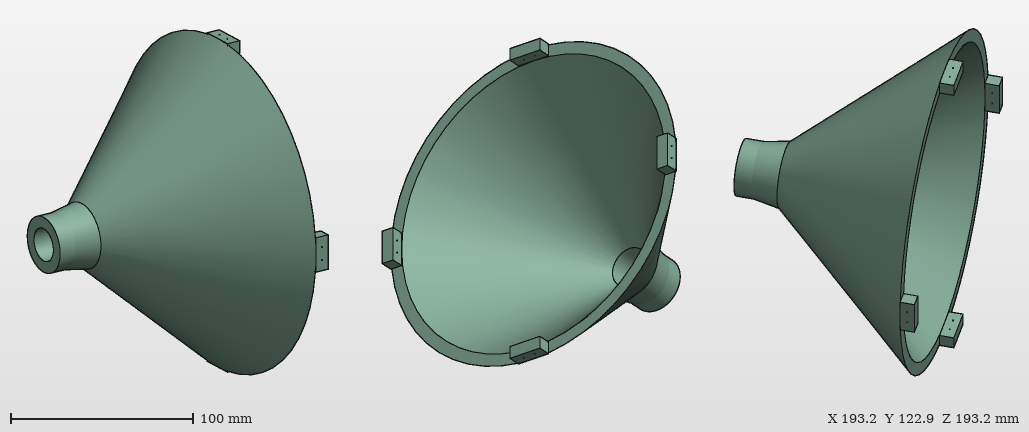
import cadquery as cq

rim_radius = 96.6
throat_radius = 19.0
spout_diameter = 32.3
bore_diameter = 19.0
rim_wall = 7.3

spout_length = 10.0
taper_length = 15.0
cone_length = 89.8

tab_height = 8.1
tab_width = 20.3
tab_count = 4
pinhole_diameter = 0.4
pinhole_spacing = 7.5

taper_start = spout_length
throat_y = taper_start + taper_length
rim_y = throat_y + cone_length


def funnel_body():
    """Revolve the hollow wall: spout, short taper and main cone."""
    spout_radius = spout_diameter / 2
    bore_radius = bore_diameter / 2
    return (
        cq.Workplane("XY")
        .moveTo(bore_radius, 0)
        .lineTo(spout_radius, 0)
        .lineTo(spout_radius, taper_start)
        .lineTo(throat_radius, throat_y)
        .lineTo(rim_radius, rim_y)
        .lineTo(rim_radius - rim_wall, rim_y)
        .lineTo(throat_radius - rim_wall, throat_y)
        .lineTo(bore_radius, taper_start)
        .close()
        .revolve(360, (0, 0, 0), (0, 1, 0))
    )


def rim_tab():
    """Block standing on the +X side of the rim, with its two radial pinholes."""
    tab = cq.Workplane("XY").box(rim_wall, tab_height, tab_width)
    pinholes = (
        cq.Workplane("YZ")
        .rarray(tab_height, pinhole_spacing, 1, 2)
        .circle(pinhole_diameter / 2)
        .extrude(rim_wall, both=True)
    )
    return tab.cut(pinholes).translate((rim_radius - rim_wall / 2, rim_y + tab_height / 2, 0))


result = funnel_body()
for index in range(tab_count):
    angle = index * 360 / tab_count
    result = result.union(rim_tab().rotate((0, 0, 0), (0, 1, 0), angle))

result = result.translate((0, -(rim_y + tab_height) / 2, 0))